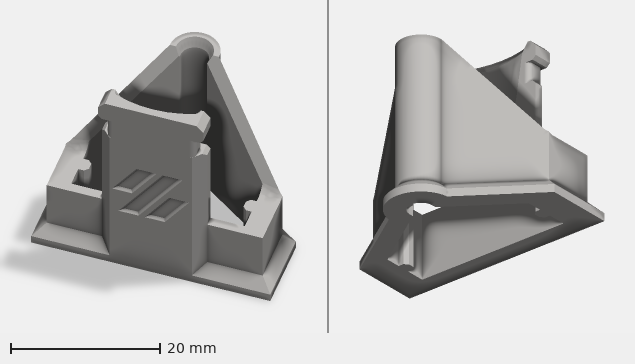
import cadquery as cq
import math

base_half_width = 16.95
base_corner_y = 10.55
flange_height = 1.22
flare_height = 1.55
wall_inset = 1.63
wall_base_z = flange_height + flare_height
side_height = 9.93
side_body_half_width = base_half_width - wall_inset
side_body_corner_y = 9.73

channel_y = 18.1
channel_top = 24.9
flange_apex_radius = 5.12
channel_outer_radius = flange_apex_radius - wall_inset
channel_radius = 1.95
channel_chamfer_width = 0.65
flange_apex_join_y = 18.75
wall_apex_join_y = 18.03

opening_half_width = 12.3
opening_front = 2.98
opening_corner_y = 10.3
opening_apex_y = 17.45

slope_angle = math.atan2(channel_top - side_height, wall_apex_join_y - side_body_corner_y)
fillet_reach_outer = 0.8
fillet_reach_inner = 1.35

nub_length = 1.35
nub_front = 5.85
nub_width = 2.07
nub_chamfer = 0.55

tower_height = 30.0
tower_half_width = 7.45
tower_depth = opening_front
tower_bevel = 1.63
neck_bottom = 23.75
neck_top = 26.95
neck_half_width = 6.27
neck_fillet = 0.78
head_chamfer = 0.95
shoulder_chamfer = 0.55

recess_half_width = 5.1
recess_depth = 0.9
recess_bottom = side_height
rim_width = 0.98
rim_height = 1.42

pocket_depth = 0.35
pocket_bevel = 0.37
pocket_width = 2.85
pocket_lean = 0.71
pocket_bottom = 10.17
pocket_top = 18.98
short_pocket_height = 4.85
long_pocket_x = -4.58
pocket_pitch = 3.73


def prism(points, z0, z1):
    return cq.Workplane("XY").workplane(offset=z0).polyline(points).close().extrude(z1 - z0)


def cone(bottom_radius, top_radius, z0, z1, x, y):
    height = z1 - z0
    return cq.Workplane(cq.Solid.makeCone(bottom_radius, top_radius, height, pnt=cq.Vector(x, y, z0)))


def frame_outline(z, half_width, front, corner_y, radius, join_y):
    """House-shaped wire whose slanted sides end at an arc around the channel."""
    join_x = math.sqrt(radius**2 - (join_y - channel_y) ** 2)
    return (
        cq.Workplane("XY").workplane(offset=z)
        .moveTo(-half_width, front)
        .lineTo(half_width, front)
        .lineTo(half_width, corner_y)
        .lineTo(join_x, join_y)
        .threePointArc((0, channel_y + radius), (-join_x, join_y))
        .lineTo(-half_width, corner_y)
        .close()
    )


def flange_outline(z):
    return frame_outline(z, base_half_width, 0, base_corner_y, flange_apex_radius, flange_apex_join_y)


def wall_outline(z):
    return frame_outline(
        z, side_body_half_width, wall_inset, side_body_corner_y, channel_outer_radius, wall_apex_join_y
    )


def make_frame():
    flange = flange_outline(0).extrude(flange_height)
    lower = flange_outline(flange_height).wires().val()
    upper = wall_outline(wall_base_z).wires().val()
    flare = cq.Workplane(cq.Solid.makeLoft([lower, upper], True))
    wall = wall_outline(wall_base_z).extrude(channel_top - wall_base_z)
    return flange.union(flare).union(wall)


def fillet_section(x, reach):
    """Wire at one x: the corner below the slope, closed by a tangent arc."""
    radius = reach / math.tan(slope_angle / 2)
    middle_angle = slope_angle / 2
    flat_y = side_body_corner_y - reach
    middle = (flat_y + radius * math.sin(middle_angle), side_height + radius * (1 - math.cos(middle_angle)))
    slope_end = (
        side_body_corner_y + reach * math.cos(slope_angle),
        side_height + reach * math.sin(slope_angle),
    )
    return (
        cq.Workplane("YZ").workplane(offset=x)
        .moveTo(side_body_corner_y, side_height)
        .lineTo(flat_y, side_height)
        .threePointArc(middle, slope_end)
        .close()
        .wires().val()
    )


def make_slope_cutter():
    """Space above the low sides and the slanted walls."""
    cutter = (
        cq.Workplane("YZ")
        .polyline([
            (0, side_height),
            (side_body_corner_y, side_height),
            (wall_apex_join_y, channel_top),
            (0, channel_top),
        ])
        .close()
        .extrude(base_half_width, both=True)
    )
    for side in (-1, 1):
        sections = [
            fillet_section(side * side_body_half_width, fillet_reach_outer),
            fillet_section(side * opening_half_width, fillet_reach_inner),
        ]
        cutter = cutter.cut(cq.Workplane(cq.Solid.makeLoft(sections, True)))
    return cutter


def make_opening():
    room = prism(
        [
            (-opening_half_width, opening_front),
            (opening_half_width, opening_front),
            (opening_half_width, opening_corner_y),
            (channel_radius, opening_apex_y),
            (channel_radius, channel_y),
            (-channel_radius, channel_y),
            (-channel_radius, opening_apex_y),
            (-opening_half_width, opening_corner_y),
        ],
        0, channel_top,
    )
    channel = cq.Workplane("XY").center(0, channel_y).circle(channel_radius).extrude(channel_top)
    mouth = cone(
        channel_radius, channel_radius + channel_chamfer_width, channel_top - rim_height, channel_top, 0, channel_y
    )
    return room.union(channel).union(mouth)


def make_nub(side):
    wall_x = side * opening_half_width
    shoulder_x = side * (opening_half_width - nub_length + nub_chamfer)
    tip_x = side * (opening_half_width - nub_length)
    nub_back = nub_front + nub_width
    return prism(
        [
            (wall_x, nub_front),
            (shoulder_x, nub_front),
            (tip_x, nub_front + nub_chamfer),
            (tip_x, nub_back - nub_chamfer),
            (shoulder_x, nub_back),
            (wall_x, nub_back),
        ],
        0, side_height,
    )


def make_tower():
    bevel_x = tower_half_width - tower_bevel
    post = prism(
        [
            (-bevel_x, 0),
            (bevel_x, 0),
            (tower_half_width, tower_bevel),
            (tower_half_width, tower_depth),
            (-tower_half_width, tower_depth),
            (-tower_half_width, tower_bevel),
        ],
        0, neck_bottom,
    )
    head = (
        cq.Workplane("XY").workplane(offset=neck_top)
        .rect(2 * tower_half_width, 2 * tower_depth)
        .extrude(tower_height - neck_top)
        .faces(">Z").edges("|Y").chamfer(head_chamfer)
        .faces("<Z").edges("|Y").chamfer(shoulder_chamfer)
        .intersect(cq.Workplane("XY").box(
            2 * tower_half_width, tower_depth, tower_height, centered=(True, False, False)
        ))
    )
    neck = (
        cq.Workplane("XY")
        .box(2 * neck_half_width, tower_depth, neck_top - neck_bottom, centered=(True, False, False))
        .edges("|Z").fillet(neck_fillet)
        .translate((0, 0, neck_bottom))
    )
    shoulder_x = tower_half_width - shoulder_chamfer
    shoulder_z = neck_bottom - shoulder_chamfer
    for side in (-1, 1):
        corner = (
            cq.Workplane("XZ")
            .polyline([
                (side * shoulder_x, neck_bottom),
                (side * tower_half_width, shoulder_z),
                (side * tower_half_width, neck_bottom),
            ])
            .close()
            .extrude(-tower_depth)
        )
        post = post.cut(corner)
    return post.union(neck).union(head)


def make_recess():
    """Shallow conical hollow that fades out downwards, with a flared rim on top."""
    radius = (recess_half_width**2 + recess_depth**2) / (2 * recess_depth)
    axis_y = tower_depth - recess_depth + radius
    rim_z = tower_height - rim_height
    hollow = cone(radius - recess_depth, radius, recess_bottom, rim_z, 0, axis_y)
    half_angle = math.asin(recess_half_width / radius)
    reach = 2 * radius
    sector = prism(
        [
            (0, axis_y),
            (-reach * math.sin(half_angle), axis_y - reach * math.cos(half_angle)),
            (reach * math.sin(half_angle), axis_y - reach * math.cos(half_angle)),
        ],
        rim_z, tower_height,
    )
    rim = cone(radius, radius + rim_width, rim_z, tower_height, 0, axis_y).intersect(sector)
    recess = hollow.union(rim)
    for side in (-1, 1):
        recess = recess.union(cone(0, rim_width, rim_z, tower_height, side * recess_half_width, tower_depth))
    return recess


def make_pocket(bottom_x, z0, z1):
    """Leaning parallelogram pocket with bevelled walls."""

    def outline(inset, y):
        side_inset = inset * math.hypot(1, pocket_lean)
        low = z0 + inset
        high = z1 - inset
        low_x = bottom_x + inset * pocket_lean
        high_x = bottom_x + (high - z0) * pocket_lean
        return (
            cq.Workplane("XZ", origin=(0, y, 0))
            .polyline([
                (low_x + side_inset, low),
                (low_x + pocket_width - side_inset, low),
                (high_x + pocket_width - side_inset, high),
                (high_x + side_inset, high),
            ])
            .close()
            .wires().val()
        )

    return cq.Workplane(cq.Solid.makeLoft([outline(0, 0), outline(pocket_bevel, pocket_depth)], True))


frame = make_frame().cut(make_slope_cutter()).cut(make_opening())
for side in (-1, 1):
    frame = frame.union(make_nub(side))

tower = make_tower().cut(make_recess())
upper_pocket_bottom = pocket_top - short_pocket_height
upper_pocket_x = long_pocket_x - pocket_pitch + (upper_pocket_bottom - pocket_bottom) * pocket_lean
tower = tower.cut(make_pocket(upper_pocket_x, upper_pocket_bottom, pocket_top))
tower = tower.cut(make_pocket(long_pocket_x, pocket_bottom, pocket_top))
tower = tower.cut(
    make_pocket(long_pocket_x + pocket_pitch, pocket_bottom, pocket_bottom + short_pocket_height)
)

result = frame.union(tower)